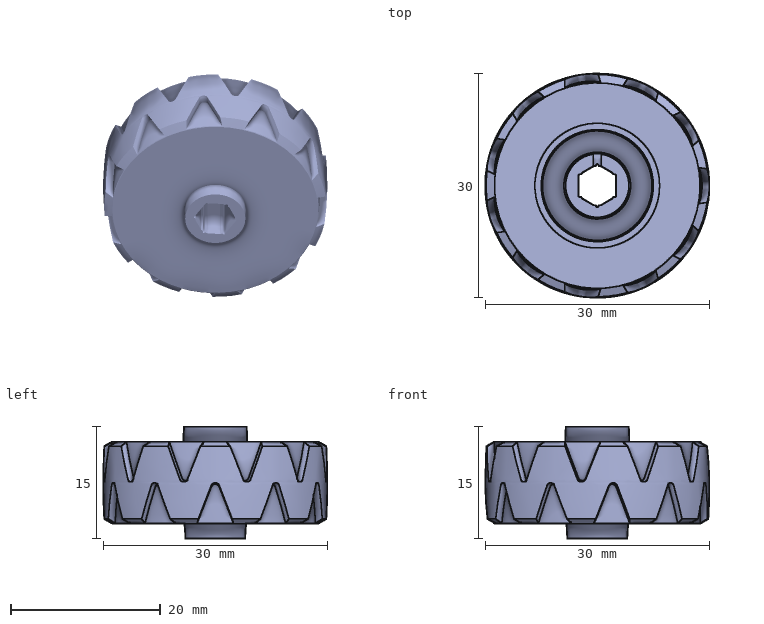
import cadquery as cq
import math

tyre_radius = 15.0
half_width = 5.5
crown_drop = 0.18
shoulder_height = 0.63
face_radius = 13.75
bond_radius = 8.35

groove_count = 11
groove_pitch = 360 / groove_count
groove_depth = 1.0
groove_tip_radius = 0.57
groove_wall_angle = math.radians(21.5)
groove_slant = math.radians(10)
upper_groove_gap = 0.1
lower_groove_gap = 0.03
cut_depth = 1.8
cut_margin = 1.5

half_length = 7.5
recess_floor_z = 1.5
recess_mouth_radius = 7.5
recess_floor_radius = 7.32
upper_boss_end_radius = 4.23
upper_boss_root_radius = 4.47
lower_boss_end_radius = 4.02
lower_boss_root_radius = 4.15

hex_across_flats = 4.98
hex_corner_radius = hex_across_flats / math.sqrt(3)
rib_near_end = 0.12
rib_peak = 0.33
rib_far_end = 0.57
rib_height = 0.12

slot_depth = 1.0
slot_half_width = 0.55
slot_fillet = 0.2


def crown_radius_at(z):
    """Radius of the tread's circular-arc crown at height `z`."""
    arc_radius = (half_width**2 + crown_drop**2) / (2 * crown_drop)
    return tyre_radius - arc_radius + math.sqrt(arc_radius**2 - z**2)


def crowned_ring(inset, end_z):
    """Ring between +-`end_z` with a plain bore and a crowned outer surface `inset` below the tread."""
    end_radius = crown_radius_at(end_z) - inset
    bend_radius = crown_radius_at(end_z / 2) - inset
    return (
        cq.Workplane("XZ")
        .moveTo(bond_radius, -end_z)
        .lineTo(end_radius, -end_z)
        .threePointArc((bend_radius, -end_z / 2), (tyre_radius - inset, 0))
        .threePointArc((bend_radius, end_z / 2), (end_radius, end_z))
        .lineTo(bond_radius, end_z)
        .close()
        .revolve(360, (0, 0), (0, 1))
    )


def shoulder_cutter(side):
    """Triangular ring that bevels the tread edge at one side face (+1 or -1)."""
    shoulder_z = half_width - shoulder_height
    shoulder_slope = (crown_radius_at(shoulder_z) - face_radius) / shoulder_height
    outer_radius = tyre_radius + cut_margin
    outer_z = half_width - (outer_radius - face_radius) / shoulder_slope
    return (
        cq.Workplane("XZ")
        .moveTo(face_radius, side * half_width)
        .lineTo(outer_radius, side * outer_z)
        .lineTo(outer_radius, side * half_width)
        .close()
        .revolve(360, (0, 0), (0, 1))
    )


def groove_cutter(gap, side, angle):
    """Rounded V, its tip `gap` away from Z = 0, sunk inwards and slanting towards one side face (+1 or -1)."""
    wall_slope = math.tan(groove_wall_angle)
    tangent_x = groove_tip_radius * math.cos(groove_wall_angle)
    tangent_z = gap + groove_tip_radius * (1 - math.sin(groove_wall_angle))
    mouth_z = half_width + cut_margin
    mouth_x = tangent_x + (mouth_z - tangent_z) * wall_slope
    outline = (
        cq.Workplane("YZ", origin=(tyre_radius, 0, 0))
        .moveTo(-mouth_x, side * mouth_z)
        .lineTo(-tangent_x, side * tangent_z)
        .threePointArc((0, side * gap), (tangent_x, side * tangent_z))
        .lineTo(mouth_x, side * mouth_z)
        .close()
        .val()
    )
    sink = cq.Vector(-cut_depth, 0, side * cut_depth * math.tan(groove_slant))
    cutter = cq.Solid.extrudeLinear(outline, [], sink)
    return cq.Workplane(cutter).rotate((0, 0, 0), (0, 0, 1), angle)


def make_tyre():
    """Tyre with two staggered rows of tread grooves whose floors follow the crown."""
    tyre = crowned_ring(0, half_width)
    for side in (1, -1):
        tyre = tyre.cut(shoulder_cutter(side), clean=False)
    core = crowned_ring(groove_depth, half_width + cut_margin)
    for index in range(groove_count):
        upper_angle = index * groove_pitch
        lower_angle = upper_angle + groove_pitch / 2
        tyre = tyre.cut(groove_cutter(upper_groove_gap, 1, upper_angle).cut(core), clean=False)
        tyre = tyre.cut(groove_cutter(lower_groove_gap, -1, lower_angle).cut(core), clean=False)
    return tyre


def hub_blank():
    """Hub disc with tapered bosses on both sides and a ring-shaped recess around the upper boss."""
    return (
        cq.Workplane("XZ")
        .moveTo(0, -half_length)
        .lineTo(lower_boss_end_radius, -half_length)
        .lineTo(lower_boss_root_radius, -half_width)
        .lineTo(bond_radius, -half_width)
        .lineTo(bond_radius, half_width)
        .lineTo(recess_mouth_radius, half_width)
        .lineTo(recess_floor_radius, recess_floor_z)
        .lineTo(upper_boss_root_radius, recess_floor_z)
        .lineTo(upper_boss_end_radius, half_length)
        .lineTo(0, half_length)
        .close()
        .revolve(360, (0, 0), (0, 1))
    )


def wall_with_ribs(start, end):
    """Outline points along one bore wall: its start corner and the two pointed ribs near its ends."""
    length = math.dist(start, end)
    along = ((end[0] - start[0]) / length, (end[1] - start[1]) / length)
    inward = (-along[1], along[0])
    first_rib = [(rib_near_end, 0), (rib_peak, rib_height), (rib_far_end, 0)]
    second_rib = [(length - distance, height) for distance, height in reversed(first_rib)]
    points = [start]
    for distance, height in first_rib + second_rib:
        x = start[0] + distance * along[0] + height * inward[0]
        y = start[1] + distance * along[1] + height * inward[1]
        points.append((x, y))
    return points


def hex_bore():
    """Hexagonal prism through the whole hub, with ribs on every wall except the two that face X."""
    corners = []
    for index in range(6):
        angle = math.radians(30 + 60 * index)
        corners.append((hex_corner_radius * math.cos(angle), hex_corner_radius * math.sin(angle)))
    right_top, top, left_top, left_bottom, bottom, right_bottom = corners
    outline = (
        wall_with_ribs(right_top, top)
        + wall_with_ribs(top, left_top)
        + [left_top]
        + wall_with_ribs(left_bottom, bottom)
        + wall_with_ribs(bottom, right_bottom)
        + [right_bottom]
    )
    return (
        cq.Workplane("XY", origin=(0, 0, -half_length))
        .polyline(outline)
        .close()
        .extrude(2 * half_length)
    )


def boss_slot():
    """Slot from the bore out through the +Y wall of the upper boss, with rounded rims and floor edges."""
    floor_z = half_length - slot_depth
    floor_half_width = slot_half_width - slot_fillet
    mouth_half_width = slot_half_width + slot_fillet
    arc_inset = slot_fillet * (1 - math.sqrt(0.5))
    floor_arc_x = slot_half_width - arc_inset
    rim_arc_x = slot_half_width + arc_inset
    return (
        cq.Workplane("XZ")
        .moveTo(-floor_half_width, floor_z)
        .lineTo(floor_half_width, floor_z)
        .threePointArc((floor_arc_x, floor_z + arc_inset), (slot_half_width, floor_z + slot_fillet))
        .lineTo(slot_half_width, half_length - slot_fillet)
        .threePointArc((rim_arc_x, half_length - arc_inset), (mouth_half_width, half_length))
        .lineTo(-mouth_half_width, half_length)
        .threePointArc((-rim_arc_x, half_length - arc_inset), (-slot_half_width, half_length - slot_fillet))
        .lineTo(-slot_half_width, floor_z + slot_fillet)
        .threePointArc((-floor_arc_x, floor_z + arc_inset), (-floor_half_width, floor_z))
        .close()
        .extrude(-upper_boss_root_radius)
    )


tyre = make_tyre()
hub = hub_blank().cut(hex_bore()).cut(boss_slot())

result = cq.Compound.makeCompound([tyre.val(), hub.val()])